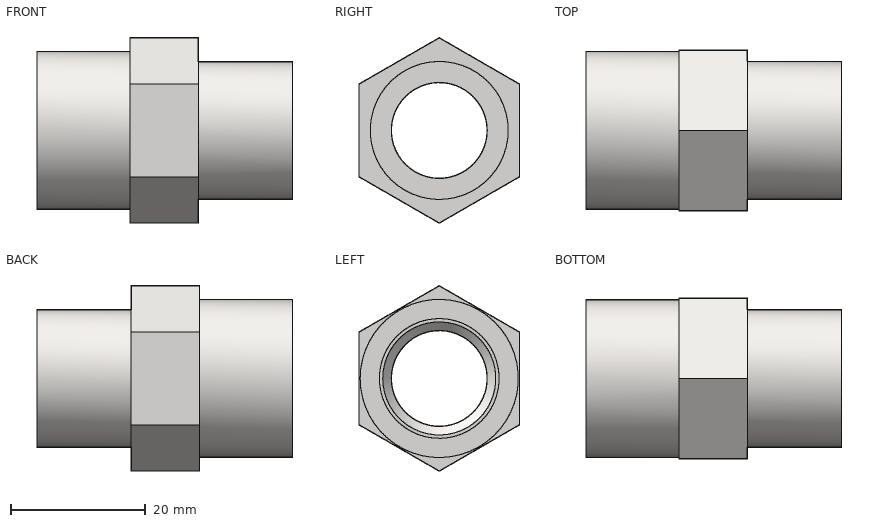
import cadquery as cq
import math

overall_length = 38.0
large_spigot_length = 13.8
hex_length = 10.2
hex_sides = 6
hex_across_flats = 23.88
hex_across_corners = hex_across_flats / math.cos(math.pi / hex_sides)

large_spigot_diameter = 23.5
small_spigot_diameter = 20.5

socket_diameter = 17.8
cone_mouth_diameter = 16.8
through_bore_diameter = 14.2

left_end = -overall_length / 2
right_end = overall_length / 2
hex_left = left_end + large_spigot_length
hex_right = hex_left + hex_length

socket_floor = hex_left
cone_length = (cone_mouth_diameter - through_bore_diameter) / 2
cone_end = socket_floor + cone_length


def section_plane(x):
    """YZ plane at position x; local x is +Y, local y is +Z, extrusion runs toward +X."""
    return cq.Workplane("YZ", origin=(x, 0, 0))


def cylinder(diameter, x_start, x_end):
    return section_plane(x_start).circle(diameter / 2).extrude(x_end - x_start)


def hexagon():
    """Wrench hexagon with corners at +Z and -Z and flats facing +Y and -Y."""
    quarter_turn = 90
    prism = section_plane(hex_left).polygon(hex_sides, hex_across_corners).extrude(hex_length)
    return prism.rotate((0, 0, 0), (1, 0, 0), quarter_turn)


def stepped_bore():
    """Solid of revolution removed from the body to form the whole passage."""
    full_turn = 360
    profile = [
        (left_end, 0),
        (left_end, socket_diameter / 2),
        (socket_floor, socket_diameter / 2),
        (socket_floor, cone_mouth_diameter / 2),
        (cone_end, through_bore_diameter / 2),
        (right_end, through_bore_diameter / 2),
        (right_end, 0),
    ]
    return cq.Workplane("XY").polyline(profile).close().revolve(full_turn, (0, 0, 0), (1, 0, 0))


large_spigot = cylinder(large_spigot_diameter, left_end, hex_left)
small_spigot = cylinder(small_spigot_diameter, hex_right, right_end)
body = hexagon().union(large_spigot).union(small_spigot)

result = body.cut(stepped_bore())